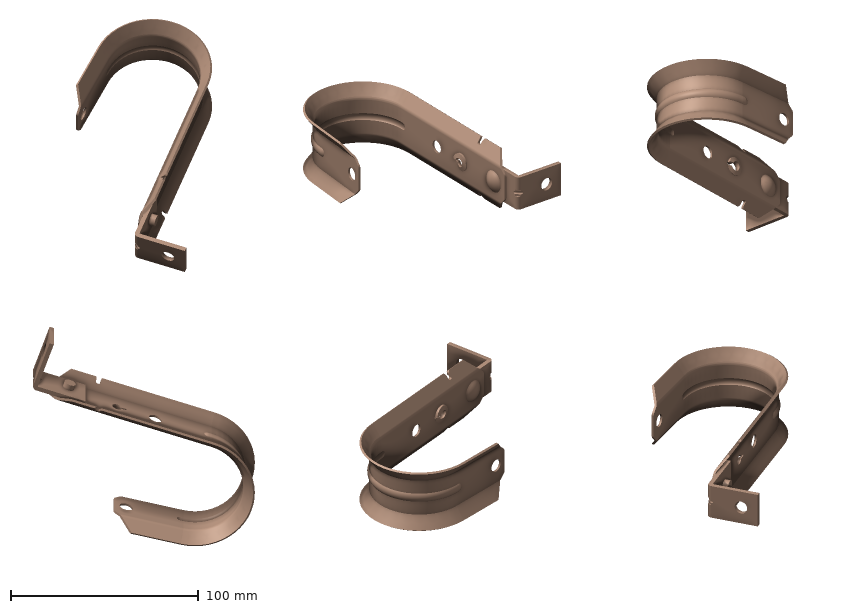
import cadquery as cq
import math

strap_thickness = 1.2
strap_height = 36.7
flange_radius = 31.9
flare_angle = math.radians(36)
flange_root = 10.6
flare_round = 3.0
back_arm_length = 91.1
tip_arm_length = 38.2
tip_arm_lean = 5.0
end_chamfer = 11.2
end_round = 2.7

flange_edge = strap_height / 2 - strap_thickness * math.sin(flare_angle)
web_outer = flange_radius - (flange_edge - flange_root) * math.tan(flare_angle)
web_inner = web_outer - strap_thickness

bead_half_width = 2.5
bead_rise = 0.9
bead_overrun = 1.5
bead_radius = (bead_half_width ** 2 + bead_rise ** 2) / (2 * bead_rise)
bead_center = web_outer + bead_rise - bead_radius

web_cut_reach = 5.3
tie_hole_diameter = 7.2
tie_hole_y = -31.4
notch_y = -64.9
notch_width = 2.5
notch_depth = 3.9
notch_bottom_round = 0.8
notch_mouth_round = 1.7

thread_y = -53.0
thread_radius = 10.2 / 2
thread_hole_radius = 5.3 / 2
thread_rise = 1.6
thread_lip = 0.7
thread_gap_angle = 5.0
thread_slot_width = 1.3
thread_slot_reach = 5.7

bracket_thickness = 2.4
bracket_width = 19.3
bracket_foot_end = 55.8
bracket_base = -101.0
foot_hole_x = 46.3
foot_hole_diameter = 7.2
gusset_half_width = 2.0
gusset_slot_half_width = 0.8
gusset_slot_depth = 2.5

rivet_y = -81.4
rivet_head_radius = 6.2
rivet_head_height = 2.7
rivet_shank_radius = 6.2 / 2
rivet_tail_end = 32.5

bracket_inner = web_outer + bracket_thickness
bracket_top = rivet_y + bracket_width / 2


def strap_section():
    """Cross-section of the strap on the XZ plane, at +X of the bend axis."""
    inner_corner = flange_root + strap_thickness * math.tan(flare_angle / 2)
    tangent = flare_round * math.tan(flare_angle / 2)
    tip = (flange_radius - strap_thickness * math.cos(flare_angle), strap_height / 2)
    flare_start = (
        web_inner + tangent * math.sin(flare_angle),
        inner_corner + tangent * math.cos(flare_angle),
    )
    web_end = (web_inner, inner_corner - tangent)

    def below(point):
        return (point[0], -point[1])

    return (
        cq.Workplane("XZ")
        .moveTo(web_outer, -flange_root)
        .lineTo(web_outer, flange_root)
        .lineTo(flange_radius, flange_edge)
        .lineTo(*tip)
        .lineTo(*flare_start)
        .tangentArcPoint(web_end, relative=False)
        .lineTo(*below(web_end))
        .tangentArcPoint(below(flare_start), relative=False)
        .lineTo(*below(tip))
        .lineTo(flange_radius, -flange_edge)
        .close()
    )


def straight_arm(length):
    """Arm running toward -Y from the bend, with both corners of its end cut off and rounded."""
    arm = strap_section().extrude(length)
    half = strap_height / 2
    outline = (
        cq.Workplane("YZ")
        .polyline([
            (0, -half),
            (0, half),
            (-length + end_chamfer, half),
            (-length, half - end_chamfer),
            (-length, end_chamfer - half),
            (-length + end_chamfer, -half),
        ])
        .close()
        .extrude(flange_radius)
        .edges("|X and <Y")
        .fillet(end_round)
    )
    return arm.intersect(outline)


def to_tip_arm(shape):
    """Move a shape from the back arm's position to the leaning free arm."""
    return shape.mirror("YZ").rotate((0, 0, 0), (0, 0, 1), -tip_arm_lean)


def bead_solid(radius, chord):
    """Bead around the bend, with a straight overrun and a domed tip on each arm.

    Its section is the part of a circle that lies outside the chord's distance from the bend axis.
    """
    half_chord = math.sqrt(radius ** 2 - (chord - bead_center) ** 2)
    crest = bead_center + radius
    half_angle = math.acos((chord - bead_center) / radius) / 2
    quarter = (bead_center + radius * math.cos(half_angle), radius * math.sin(half_angle))

    def segment():
        return (
            cq.Workplane("XZ")
            .moveTo(chord, -half_chord)
            .threePointArc((crest, 0), (chord, half_chord))
            .close()
        )

    dome = (
        cq.Workplane("XZ", origin=(0, -bead_overrun, 0))
        .moveTo(chord, 0)
        .lineTo(crest, 0)
        .threePointArc(quarter, (chord, half_chord))
        .close()
        .revolve(180, (0, 0, 0), (1, 0, 0))
    )
    end = segment().extrude(bead_overrun).union(dome)
    turn = segment().revolve(180 - tip_arm_lean, (0, 0, 0), (0, 1, 0))
    return turn.union(end).union(to_tip_arm(end))


def web_hole(diameter, y):
    """Cutter for a round hole through the web of the back arm."""
    return (
        cq.Workplane("YZ", origin=(web_inner - web_cut_reach, y, 0))
        .circle(diameter / 2)
        .extrude(2 * web_cut_reach)
    )


def notch_pair():
    """Cutters for the rounded notches in both flange edges of the back arm."""
    half = strap_height / 2
    side = notch_width / 2
    floor = half - notch_depth
    upper = (
        cq.Workplane("YZ")
        .moveTo(notch_y - side - notch_mouth_round, half)
        .radiusArc((notch_y - side, half - notch_mouth_round), notch_mouth_round)
        .lineTo(notch_y - side, floor + notch_bottom_round)
        .radiusArc((notch_y - side + notch_bottom_round, floor), -notch_bottom_round)
        .lineTo(notch_y + side - notch_bottom_round, floor)
        .radiusArc((notch_y + side, floor + notch_bottom_round), -notch_bottom_round)
        .lineTo(notch_y + side, half - notch_mouth_round)
        .radiusArc((notch_y + side + notch_mouth_round, half), notch_mouth_round)
        .close()
        .extrude(flange_radius)
    )
    return upper.union(upper.mirror("XY"))


thread_plane = cq.Plane(origin=(web_inner, thread_y, 0), xDir=(0, 1, 0), normal=(-1, 0, 0))


def thread_form():
    """One-turn ramp around the threaded hole, clipped to the back of the web."""
    turn = 1 - thread_gap_angle / 360
    helix = cq.Wire.makeHelix(thread_rise, thread_rise * turn, thread_radius)
    core = thread_hole_radius / 2
    ramp = (
        cq.Workplane("XZ")
        .polyline([
            (core, -thread_rise),
            (thread_radius, -thread_rise),
            (thread_radius, 0),
            (thread_hole_radius, thread_lip),
            (core, thread_lip),
        ])
        .close()
        .sweep(cq.Workplane(helix), isFrenet=True)
        .rotate((0, 0, 0), (0, 0, 1), thread_gap_angle / 2)
    )
    keep = (
        cq.Workplane("XY", origin=(0, 0, -strap_thickness))
        .circle(2 * thread_radius)
        .extrude(strap_thickness + 2 * thread_rise + thread_lip)
    )
    solid = ramp.intersect(keep).val()
    return cq.Workplane(solid.located(cq.Location(thread_plane)))


def thread_slot():
    """Cutter for the radial slot that parts the two ends of the thread ramp."""
    half = thread_slot_width / 2
    straight_end = thread_slot_reach - half
    return (
        cq.Workplane(thread_plane)
        .workplane(offset=-2 * strap_thickness)
        .moveTo(0, -half)
        .lineTo(straight_end, -half)
        .threePointArc((thread_slot_reach, 0), (straight_end, half))
        .lineTo(0, half)
        .close()
        .extrude(3 * thread_radius)
    )


def make_hook():
    back_arm = straight_arm(back_arm_length)
    tip_arm = to_tip_arm(straight_arm(tip_arm_length))
    bend = strap_section().revolve(180 - tip_arm_lean, (0, 0, 0), (0, 1, 0))
    hook = bend.union(back_arm).union(tip_arm)

    hook = hook.union(bead_solid(bead_radius, web_outer - strap_thickness / 2))
    hook = hook.cut(bead_solid(bead_radius - strap_thickness, web_inner - strap_thickness / 3))

    tie_hole = web_hole(tie_hole_diameter, tie_hole_y)
    hook = hook.cut(tie_hole).cut(to_tip_arm(tie_hole)).cut(notch_pair())

    hook = hook.union(thread_form())
    hook = hook.cut(web_hole(2 * thread_hole_radius, thread_y)).cut(thread_slot())
    return hook.cut(web_hole(2 * rivet_shank_radius, rivet_y))


gusset_plane = cq.Plane(
    origin=(web_outer, bracket_base, 0), xDir=(0, 0, 1), normal=(-1, 1, 0)
)


def gusset_rib():
    """Rounded rib bridging the inner corner, rooted in the middle of each bracket leg."""
    crest = gusset_slot_depth + bracket_thickness
    rib = (
        cq.Workplane(gusset_plane)
        .moveTo(-gusset_half_width, 0)
        .lineTo(-gusset_half_width, crest - gusset_half_width)
        .threePointArc((0, crest), (gusset_half_width, crest - gusset_half_width))
        .lineTo(gusset_half_width, 0)
        .close()
        .extrude(crest, both=True)
    )
    inside = (
        cq.Workplane("XY")
        .box(2 * crest, 2 * crest, bracket_width, centered=(False, False, True))
        .translate((web_outer + bracket_thickness / 2, bracket_base + bracket_thickness / 2, 0))
    )
    return rib.intersect(inside)


def gusset_groove():
    """Stepped groove across the outside of the bracket bend."""
    shoulder = bracket_thickness / math.sqrt(2)
    slot_straight = gusset_slot_depth - gusset_slot_half_width
    wide = (
        cq.Workplane(gusset_plane)
        .rect(2 * gusset_half_width, 2 * shoulder)
        .extrude(gusset_slot_depth, both=True)
    )
    slot = (
        cq.Workplane(gusset_plane)
        .moveTo(-gusset_slot_half_width, 0)
        .lineTo(-gusset_slot_half_width, slot_straight)
        .threePointArc((0, gusset_slot_depth), (gusset_slot_half_width, slot_straight))
        .lineTo(gusset_slot_half_width, 0)
        .close()
        .extrude(2 * gusset_slot_depth, both=True)
    )
    return wide.union(slot)


def make_bracket():
    foot_top = bracket_base + bracket_thickness
    angle = (
        cq.Workplane("XY")
        .polyline([
            (web_outer, bracket_top),
            (web_outer, bracket_base),
            (bracket_foot_end, bracket_base),
            (bracket_foot_end, foot_top),
            (bracket_inner, foot_top),
            (bracket_inner, bracket_top),
        ])
        .close()
        .extrude(bracket_width / 2, both=True)
    )
    bend_edge = cq.selectors.NearestToPointSelector((web_outer, bracket_base, 0))
    angle = angle.edges(bend_edge).fillet(bracket_thickness)

    foot_hole = (
        cq.Workplane("XZ", origin=(foot_hole_x, foot_top, 0))
        .circle(foot_hole_diameter / 2)
        .extrude(bracket_thickness)
    )
    rivet_hole = web_hole(2 * rivet_shank_radius, rivet_y)
    return angle.union(gusset_rib()).cut(gusset_groove()).cut(foot_hole).cut(rivet_hole)


def rivet_dome():
    """Middle and rim points of the spherical head's profile."""
    sphere = (rivet_head_radius ** 2 + rivet_head_height ** 2) / (2 * rivet_head_height)
    center = web_inner - rivet_head_height + sphere
    half_angle = math.asin(rivet_head_radius / sphere) / 2
    middle = (center - sphere * math.cos(half_angle), sphere * math.sin(half_angle))
    return middle, (web_inner, rivet_head_radius)


def make_rivet():
    """Round-headed rivet along X, its domed head against the inside of the web."""
    return (
        cq.Workplane("XY", origin=(0, rivet_y, 0))
        .moveTo(web_inner - rivet_head_height, 0)
        .threePointArc(*rivet_dome())
        .lineTo(web_inner, rivet_shank_radius)
        .lineTo(rivet_tail_end, rivet_shank_radius)
        .lineTo(rivet_tail_end, 0)
        .close()
        .revolve(360, (0, 0, 0), (1, 0, 0))
    )


hook = make_hook()
bracket = make_bracket()
rivet = make_rivet()

result = cq.Compound.makeCompound([hook.val(), bracket.val(), rivet.val()])